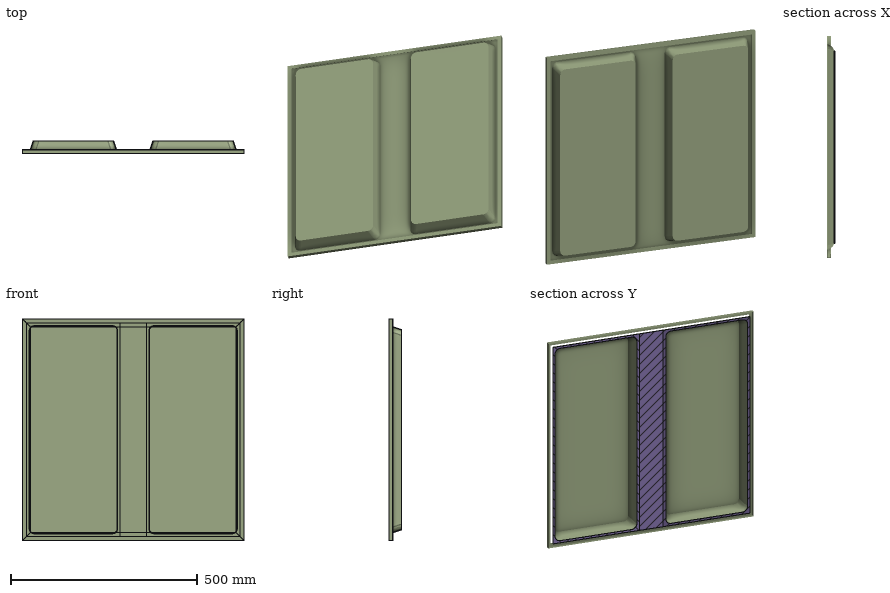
import cadquery as cq
import math


SHEET = 0.9

SIDE = 595.0
FRAME_DEPTH = 11.0
RAIL_WIDTH = 22.0
RETURN_WIDTH = 10.0

OPENING = SIDE - 2 * RAIL_WIDTH
STRIP_WIDTH = 86.0
DIFFUSER_WIDTH = (OPENING - STRIP_WIDTH) / 2
DIFFUSER_X = (STRIP_WIDTH + DIFFUSER_WIDTH) / 2

TOTAL_DEPTH = 34.5
TUB_X = 160.5
MOUTH_WIDTH = 238.0
MOUTH_HEIGHT = 559.5
FLANGE_WIDTH = 6.5
FLANGE_SPAN = MOUTH_WIDTH + 2 * FLANGE_WIDTH
FLANGE_HEIGHT = MOUTH_HEIGHT + 2 * FLANGE_WIDTH
TUB_DRAFT = 18.5
TUB_CORNER = 16.0

BACKING_WIDTH = 2 * TUB_X - FLANGE_SPAN


def frame_rail(angle):
    """C-section rail along the bottom edge, mitred at both ends, turned about Y into place."""
    half = SIDE / 2
    section = [
        (0, -half),
        (FRAME_DEPTH, -half),
        (FRAME_DEPTH, -half + RETURN_WIDTH),
        (FRAME_DEPTH - SHEET, -half + RETURN_WIDTH),
        (FRAME_DEPTH - SHEET, -half + SHEET),
        (SHEET, -half + SHEET),
        (SHEET, -half + RAIL_WIDTH),
        (0, -half + RAIL_WIDTH),
    ]
    bar = cq.Workplane("YZ").polyline(section).close().extrude(half, both=True)
    mitre = (
        cq.Workplane("XZ")
        .polyline([(-half, -half), (half, -half), (0, 0)])
        .close()
        .extrude(-FRAME_DEPTH)
    )
    return bar.intersect(mitre).rotate((0, 0, 0), (0, 1, 0), angle)


def plate(x, y, width, height):
    """Sheet plate parallel to the front face, its front side at depth y."""
    return cq.Workplane("XZ", origin=(x, y, 0)).rect(width, height).extrude(-SHEET)


def diffuser(x):
    """Flat cover filling one bay of the frame opening, flush with the frame front."""
    return plate(x, 0, DIFFUSER_WIDTH, OPENING)


def centre_strip():
    """Flush strip between the diffusers, with a backing that tucks behind the frame lips."""
    return plate(0, 0, STRIP_WIDTH, OPENING).union(plate(0, SHEET, BACKING_WIDTH, FLANGE_HEIGHT))


def tapered_block(x, width, height, depth, corner):
    """Block standing behind the front layer, narrowing toward the back, with rounded corners."""
    inset = 2 * depth * math.tan(math.radians(TUB_DRAFT))
    return (
        cq.Workplane("XZ", origin=(x, SHEET, 0))
        .rect(width, height)
        .workplane(offset=-depth)
        .rect(width - inset, height - inset)
        .loft(ruled=True)
        .edges("not(#Y)")
        .fillet(corner)
    )


def tub(x):
    """Open tapered pan with a flange around its mouth."""
    depth = TOTAL_DEPTH - SHEET
    wall = SHEET / math.cos(math.radians(TUB_DRAFT))
    flange = plate(x, SHEET, FLANGE_SPAN, FLANGE_HEIGHT)
    outside = tapered_block(x, MOUTH_WIDTH, MOUTH_HEIGHT, depth, TUB_CORNER)
    inside = tapered_block(
        x, MOUTH_WIDTH - 2 * wall, MOUTH_HEIGHT - 2 * wall, depth - SHEET, TUB_CORNER - SHEET
    )
    return outside.union(flange).cut(inside)


rails = [frame_rail(quarter * 90) for quarter in range(4)]
strip = centre_strip()
diffusers = [diffuser(side * DIFFUSER_X) for side in (-1, 1)]
tubs = [tub(side * TUB_X) for side in (-1, 1)]

bodies = [*rails, strip, *diffusers, *tubs]
result = cq.Compound.makeCompound([body.val() for body in bodies])